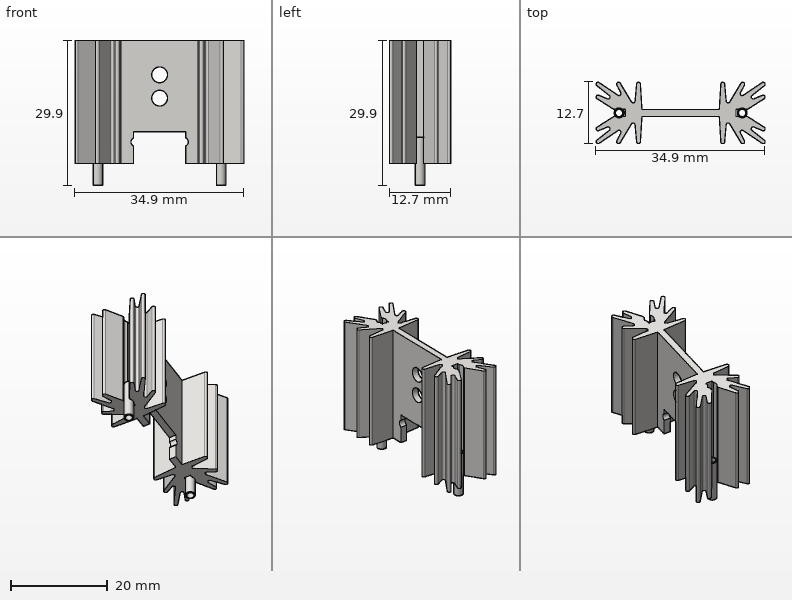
import cadquery as cq
import math


length = 34.9
width = 12.7
height = 25.4
web_thickness = 1.5
fan_root_x = 7.95

tip_radius = 0.42
valley_radius = 0.4
high_tip_y = width / 2 - tip_radius
low_tip_y = 3.28
end_tip_x = length / 2 - tip_radius
diagonal_tip_x = 12.8
upright_tip_x = 8.7
inner_valley = (9.8, 2.48)
middle_valley = (12.7, 3.98)
end_valley = (14.97, 3.28)

pin_diameter = 2.02
pin_radius = pin_diameter / 2
pin_spacing = 25.4
pin_x = pin_spacing / 2
slot_width = 1.45
slot_bottom_x = 11.45
slot_mouth_x = 13.82

pin_length = 10.0
pin_protrusion = 4.5
pin_bore_radius = 0.75
pin_chamfer = 0.087

hole_diameter = 3.2
hole_heights = (13.5, 18.32)
cutout_width = 10.75
cutout_height = 6.53
relief_radius = 0.9
relief_x = 5.0
relief_z = 4.45

fan_circles = [
    ((fan_root_x, web_thickness / 2), 0),
    ((upright_tip_x, high_tip_y), tip_radius),
    (inner_valley, -valley_radius),
    ((diagonal_tip_x, high_tip_y), tip_radius),
    (middle_valley, -valley_radius),
    ((end_tip_x, high_tip_y), tip_radius),
    (end_valley, -valley_radius),
    ((end_tip_x, low_tip_y), tip_radius),
    ((slot_mouth_x, slot_width / 2), 0),
]


def tangent_normal(start_circle, end_circle):
    """Angle of the left-hand normal of the line tangent to two circles of signed radius."""
    (start, start_radius), (end, end_radius) = start_circle, end_circle
    centre_line = math.atan2(end[1] - start[1], end[0] - start[0])
    tilt = math.asin((start_radius - end_radius) / math.dist(start, end))
    return centre_line - tilt + math.pi / 2


def point_on(circle, angle):
    (x, y), radius = circle
    return (x + radius * math.cos(angle), y + radius * math.sin(angle))


def make_quarter():
    """The quarter of the solid extrusion with positive X and Y."""
    outline = cq.Workplane("XY").lineTo(0, web_thickness / 2).lineTo(*fan_circles[0][0])
    for before, circle, after in zip(fan_circles, fan_circles[1:], fan_circles[2:]):
        entry = tangent_normal(before, circle)
        leave = tangent_normal(circle, after)
        outline = outline.lineTo(*point_on(circle, entry))
        outline = outline.threePointArc(
            point_on(circle, (entry + leave) / 2), point_on(circle, leave)
        )
    outline = outline.lineTo(*fan_circles[-1][0]).lineTo(slot_mouth_x, 0)
    return outline.close().extrude(height)


def make_extrusion():
    quarter = make_quarter()
    half = quarter.union(quarter.mirror("XZ"))
    return half.union(half.mirror("YZ")).clean()


def make_pin_seat(side):
    """Cutter for the bore and slot of one pin, running the full height."""
    slot_depth = slot_mouth_x - slot_bottom_x
    slot_x = side * (slot_mouth_x + slot_bottom_x) / 2
    slot = cq.Workplane("XY").center(slot_x, 0).rect(slot_depth, slot_width).extrude(height)
    bore = cq.Workplane("XY").center(side * pin_x, 0).circle(pin_radius).extrude(height)
    return slot.union(bore)


def make_web_openings():
    """Cutter for the two screw holes and the bottom cutout with its round reliefs."""
    def face():
        return cq.Workplane("XZ")

    holes = face().pushPoints([(0, z) for z in hole_heights]).circle(hole_diameter / 2)
    cutout = face().center(0, cutout_height / 2).rect(cutout_width, cutout_height)
    reliefs = face().pushPoints([(-relief_x, relief_z), (relief_x, relief_z)]).circle(relief_radius)
    openings = cutout.extrude(web_thickness, both=True)
    for cutter in (holes, reliefs):
        openings = openings.union(cutter.extrude(web_thickness, both=True))
    return openings


def make_heat_sink():
    body = make_extrusion().cut(make_web_openings())
    for side in (-1, 1):
        body = body.cut(make_pin_seat(side))
    return body


def make_pin(side):
    """Tube with chamfered outer edges, reaching below the heat sink."""
    pin = (
        cq.Workplane("XY", origin=(side * pin_x, 0, -pin_protrusion))
        .circle(pin_radius)
        .extrude(pin_length)
        .faces("<Z or >Z")
        .chamfer(pin_chamfer)
    )
    return pin.faces(">Z").workplane().circle(pin_bore_radius).cutThruAll()


heat_sink = make_heat_sink()
pins = [make_pin(side) for side in (-1, 1)]

result = cq.Compound.makeCompound([heat_sink.val(), *[pin.val() for pin in pins]])